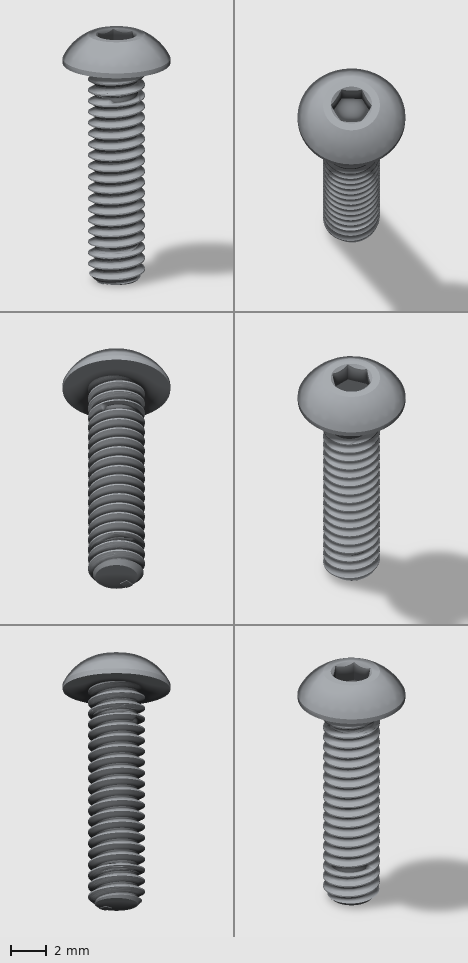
import cadquery as cq
import math

TOTAL_LENGTH = 14.38

HEAD_DIAMETER = 6.05
HEAD_RADIUS = HEAD_DIAMETER / 2
HEAD_HEIGHT = 1.68
RIM_HEIGHT = 0.29
CROWN_RADIUS = 1.6
DOME_BULGE = 0.17
UNDERSIDE_Z = TOTAL_LENGTH - HEAD_HEIGHT

SOCKET_FLATS = 1.98
SOCKET_DEPTH = 1.15
SOCKET_MOUTH_RADIUS = 1.16
COUNTERSINK_DEPTH = 0.29

CORE_RADIUS = 1.2
PAD_HEIGHT = 0.05
PAD_WIDTH = 0.49
PAD_INNER_RADIUS = 0.62
CORE_END_Z = PAD_HEIGHT

THREAD_RADIUS = 1.6
SHANK_TURNS = 20
THREAD_PITCH = UNDERSIDE_Z / SHANK_TURNS
CREST_WIDTH = THREAD_PITCH / 8
CREST_Z = 0.55
LEAD_IN_TURNS = 2
THREAD_ROOT_OVERLAP = 0.05
ENVELOPE_MARGIN = 0.72
FLANK_SLOPE = math.tan(math.radians(30))


def make_head():
    top = TOTAL_LENGTH
    rim_top = UNDERSIDE_Z + RIM_HEIGHT
    run = HEAD_RADIUS - CROWN_RADIUS
    rise = top - rim_top
    chord = math.hypot(run, rise)
    dome_middle = (
        (HEAD_RADIUS + CROWN_RADIUS) / 2 + DOME_BULGE * rise / chord,
        (rim_top + top) / 2 + DOME_BULGE * run / chord,
    )
    return (
        cq.Workplane("XZ")
        .moveTo(0, UNDERSIDE_Z)
        .lineTo(HEAD_RADIUS, UNDERSIDE_Z)
        .lineTo(HEAD_RADIUS, rim_top)
        .threePointArc(dome_middle, (CROWN_RADIUS, top))
        .lineTo(0, top)
        .close()
        .revolve(360, (0, 0, 0), (0, 1, 0))
    )


def make_socket():
    corner_diameter = SOCKET_FLATS / math.cos(math.radians(30))
    hexagon = (
        cq.Workplane("XY", origin=(0, 0, TOTAL_LENGTH - SOCKET_DEPTH))
        .transformed(rotate=(0, 0, 30))
        .polygon(6, corner_diameter)
        .extrude(SOCKET_DEPTH)
    )
    countersink = cq.Workplane(
        cq.Solid.makeCone(
            SOCKET_MOUTH_RADIUS, SOCKET_MOUTH_RADIUS - COUNTERSINK_DEPTH, COUNTERSINK_DEPTH,
            pnt=cq.Vector(0, 0, TOTAL_LENGTH), dir=cq.Vector(0, 0, -1),
        )
    )
    return hexagon.union(countersink)


def make_core():
    core = (
        cq.Workplane("XY", origin=(0, 0, CORE_END_Z))
        .circle(CORE_RADIUS)
        .extrude(UNDERSIDE_Z - CORE_END_Z)
    )
    pad_length = CORE_RADIUS - PAD_INNER_RADIUS
    pad = (
        cq.Workplane("XY")
        .center(0, -PAD_INNER_RADIUS - pad_length / 2)
        .rect(PAD_WIDTH, pad_length)
        .extrude(PAD_HEIGHT)
        .intersect(cq.Workplane("XY").circle(CORE_RADIUS).extrude(PAD_HEIGHT))
    )
    return core.union(pad)


def make_screw():
    return make_head().union(make_core()).cut(make_socket())


def make_thread_envelope():
    """Block of revolution up to the head, its lower end coned at 45 degrees from the core edge."""
    outer = THREAD_RADIUS + ENVELOPE_MARGIN
    outer_z = CORE_END_Z + outer - CORE_RADIUS
    return (
        cq.Workplane("XZ")
        .polyline([
            (0, CORE_END_Z),
            (CORE_RADIUS, CORE_END_Z),
            (outer, outer_z),
            (outer, UNDERSIDE_Z),
            (0, UNDERSIDE_Z),
        ])
        .close()
        .revolve(360, (0, 0, 0), (0, 1, 0))
    )


def make_thread():
    """Helical ridge that starts below and ends above the shank, trimmed to its ends and core."""
    start_z = CREST_Z - LEAD_IN_TURNS * THREAD_PITCH
    length = UNDERSIDE_Z + THREAD_PITCH - start_z
    root_radius = CORE_RADIUS - THREAD_ROOT_OVERLAP
    half_crest = CREST_WIDTH / 2
    half_root = half_crest + (THREAD_RADIUS - root_radius) * FLANK_SLOPE
    helix = cq.Wire.makeHelix(THREAD_PITCH, length, CORE_RADIUS).translate(cq.Vector(0, 0, start_z))
    ridge = (
        cq.Workplane("XZ")
        .polyline([
            (root_radius, start_z - half_root),
            (THREAD_RADIUS, start_z - half_crest),
            (THREAD_RADIUS, start_z + half_crest),
            (root_radius, start_z + half_root),
        ])
        .close()
        .sweep(cq.Workplane(helix), isFrenet=True)
    )
    core_space = cq.Workplane("XY").circle(CORE_RADIUS).extrude(TOTAL_LENGTH)
    return ridge.intersect(make_thread_envelope()).cut(core_space)


screw = make_screw()
thread = make_thread()

result = cq.Compound.makeCompound([screw.val(), *thread.solids().vals()])